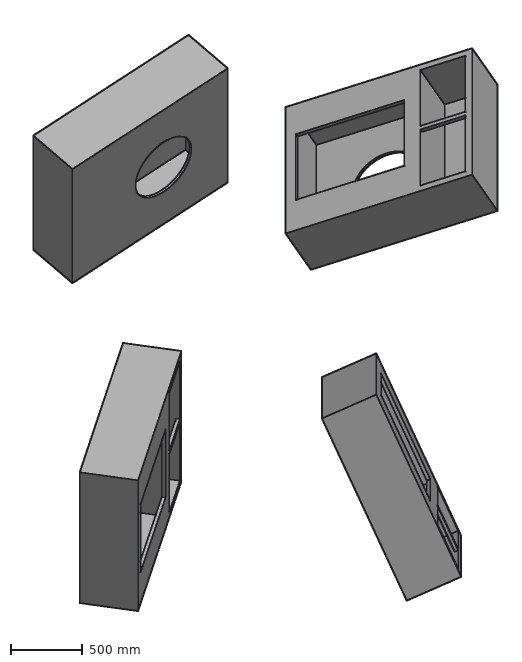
import cadquery as cq

depth = 420.0
width = 1450.0
height = 1200.0
wall = 52.0
front_panel = 28.0
back_panel = 20.0
cavity_end = depth - back_panel

window_width = 841.0
window_height = 624.0
window_margin = 81.0

opening_width = 350.0
bar_height = 35.0
opening_height = (height - 2 * wall - bar_height) / 2

cavity_height = height - 2 * wall

hole_diameter = 520.0
hole_y = width - height / 2

middle_z = height / 2
opening_y = wall + opening_width / 2
window_y = width - window_margin - window_width / 2
cavity_start_y = wall + opening_width + wall
cavity_end_y = width - wall


def block(x_start, x_end, y_center, z_center, y_size, z_size):
    """Box between two depths, centred at a point of the front face."""
    return (
        cq.Workplane("XY")
        .box(x_end - x_start, y_size, z_size, centered=(False, True, True))
        .translate((x_start, y_center, z_center))
    )


body = block(0, depth, width / 2, middle_z, width, height)

cavity_y = (cavity_start_y + cavity_end_y) / 2
cavity_width = cavity_end_y - cavity_start_y
body = body.cut(block(front_panel, cavity_end, cavity_y, middle_z, cavity_width, cavity_height))
body = body.cut(block(0, front_panel, window_y, middle_z, window_width, window_height))

body = body.cut(block(front_panel, cavity_end, opening_y, middle_z, opening_width, cavity_height))
opening_offset = (opening_height + bar_height) / 2
for side in (-1, 1):
    opening_z = middle_z + side * opening_offset
    body = body.cut(block(0, front_panel, opening_y, opening_z, opening_width, opening_height))

hole = (
    cq.Workplane("YZ", origin=(cavity_end, hole_y, middle_z))
    .circle(hole_diameter / 2)
    .extrude(back_panel)
)
result = body.cut(hole)